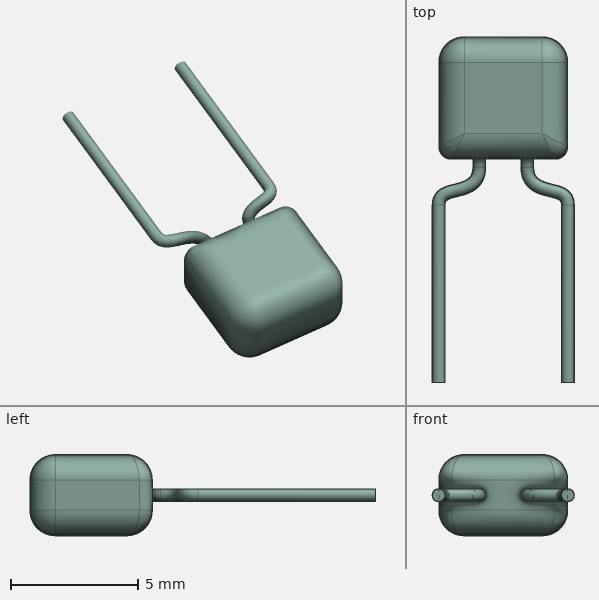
import cadquery as cq

total_length = 13.6
body_width = 5.07
body_length = 4.81
body_height = 3.2
main_round = 1.0
front_corner_round = 0.5

wire_diameter = 0.5
tip_spacing = 5.09
root_spacing = 1.89
root_straight = 0.33
bend_length = 1.47
bend_middle_depth = 0.87

tip_y = body_length - total_length


def make_body():
    """Rounded block with a smaller radius on the two upright edges of the lead face."""
    block = cq.Workplane("XY").box(body_width, body_length, body_height, centered=(True, False, True))
    block = block.edges("|Z and >Y").fillet(main_round)
    block = block.faces("<Z or >Z").edges().fillet(main_round)
    return block.edges("|Z and <Y").fillet(front_corner_round)


def make_lead(side):
    """Round wire that steps outward in a smooth S-bend; side is -1 for left and +1 for right."""
    root_x = root_spacing / 2
    tip_x = tip_spacing / 2
    bend_start_y = -root_straight
    bend_end_y = bend_start_y - bend_length
    bend_middle_x = (root_x + tip_x) / 2
    bend_middle_y = bend_start_y - bend_middle_depth
    along_wire = (0, -1)

    path = (
        cq.Workplane("XY")
        .moveTo(side * root_x, 0)
        .lineTo(side * root_x, bend_start_y)
        .spline(
            [(side * bend_middle_x, bend_middle_y), (side * tip_x, bend_end_y)],
            tangents=[along_wire, along_wire],
            includeCurrent=True,
        )
        .lineTo(side * tip_x, tip_y)
    )
    return cq.Workplane("XZ").center(side * root_x, 0).circle(wire_diameter / 2).sweep(path)


body = make_body()
leads = [make_lead(side) for side in (-1, 1)]

result = cq.Compound.makeCompound([body.val(), *[lead.val() for lead in leads]])